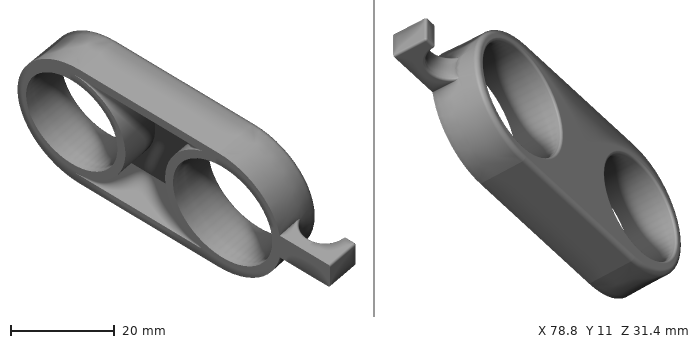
import cadquery as cq
import math

DEPTH = 11.0
DRAFT_ANGLE = 1.0
BACK_RADIUS = 15.5
FRONT_RADIUS = BACK_RADIUS + DEPTH * math.tan(math.radians(DRAFT_ANGLE))
END_SPACING = 35.0
BACK_FILLET = 1.0

LEFT_BORE_RADIUS = 11.5
LEFT_BORE_X = -2.0
RIGHT_BORE_RADIUS = 12.5
BORE_SPACING = 38.0
RIGHT_BORE_X = LEFT_BORE_X + BORE_SPACING
RING_WALL = 2.0
RIM_FILLET = 0.5

POCKET_HALF_HEIGHT = 13.48
POCKET_FLOOR = 2.0
POCKET_DEPTH = DEPTH - POCKET_FLOOR

TAB_WIDTH = 6.0
TAB_HEIGHT = 8.0
OVERALL_LENGTH = 78.75
TAB_END_X = OVERALL_LENGTH - FRONT_RADIUS
TAB_TIP = 3.0
NOTCH_RADIUS = 5.0
NOTCH_X = TAB_END_X - TAB_TIP - NOTCH_RADIUS
TAB_FILLET = 0.5


def cylinder(x, radius, depth):
    """Cylinder along +Y from the front face, centred at the given X."""
    return cq.Workplane("XZ", origin=(x, 0, 0)).circle(radius).extrude(-depth)


def make_body():
    """Stadium tapering towards its rounded back edge."""
    length = END_SPACING + 2 * FRONT_RADIUS
    return (
        cq.Workplane("XZ", origin=(END_SPACING / 2, 0, 0))
        .slot2D(length, 2 * FRONT_RADIUS)
        .extrude(-DEPTH, taper=DRAFT_ANGLE)
        .faces(">Y")
        .edges()
        .fillet(BACK_FILLET)
    )


def make_pocket():
    """Space between the rings, bounded above and below by flat walls."""
    pocket = (
        cq.Workplane("XZ", origin=((LEFT_BORE_X + RIGHT_BORE_X) / 2, 0, 0))
        .rect(BORE_SPACING, 2 * POCKET_HALF_HEIGHT)
        .extrude(-POCKET_DEPTH)
    )
    pocket = pocket.cut(cylinder(LEFT_BORE_X, LEFT_BORE_RADIUS + RING_WALL, DEPTH))
    return pocket.cut(cylinder(RIGHT_BORE_X, RIGHT_BORE_RADIUS + RING_WALL, DEPTH))


def make_tab():
    """Tab with a round notch; the notch rims, tip and end corners are rounded."""
    start_x = RIGHT_BORE_X + RIGHT_BORE_RADIUS
    tab = (
        cq.Workplane("XY", origin=(start_x, 0, 0))
        .rect(TAB_END_X - start_x, TAB_HEIGHT, centered=False)
        .extrude(TAB_WIDTH / 2, both=True)
    )
    notch = (
        cq.Workplane("XY", origin=(NOTCH_X, TAB_HEIGHT, 0))
        .circle(NOTCH_RADIUS)
        .extrude(TAB_WIDTH, both=True)
    )
    tab = tab.cut(notch)
    soft_edges = cq.selectors.BoxSelector(
        (NOTCH_X - NOTCH_RADIUS / 2, TAB_FILLET, -TAB_WIDTH),
        (TAB_END_X + TAB_FILLET, 2 * TAB_HEIGHT, TAB_WIDTH),
    )
    return tab.edges(soft_edges).fillet(TAB_FILLET)


def cut_bore(part, x, radius):
    """Cut a through bore and round its back rim."""
    bored = part.cut(cylinder(x, radius, DEPTH))
    rim = cq.selectors.BoxSelector(
        (x - radius - RIM_FILLET, DEPTH - RIM_FILLET, -radius - RIM_FILLET),
        (x + radius + RIM_FILLET, DEPTH + RIM_FILLET, radius + RIM_FILLET),
        boundingbox=True,
    )
    return bored.edges(rim).fillet(RIM_FILLET)


result = make_body().union(make_tab())
result = result.cut(make_pocket())
result = cut_bore(result, LEFT_BORE_X, LEFT_BORE_RADIUS)
result = cut_bore(result, RIGHT_BORE_X, RIGHT_BORE_RADIUS)